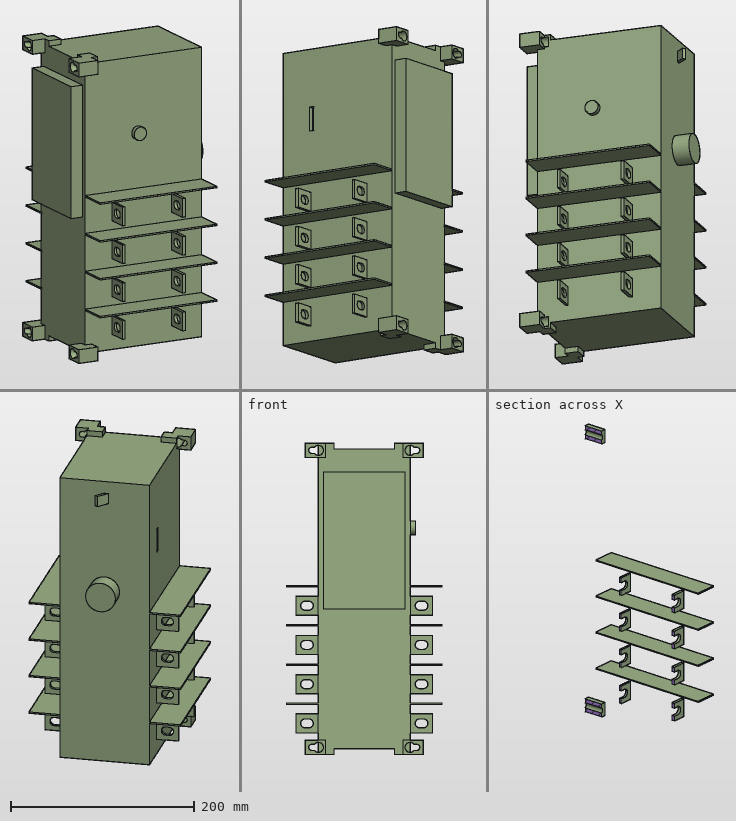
import cadquery as cq
import math


body_width = 100.5
body_depth = 145.0
body_height = 327.8
body_side = body_width / 2
body_top = body_height / 2

panel_width = 89.0
panel_height = 149.3
panel_thickness = 14.3
panel_top = 138.5

pole_count = 4
pole_pitch = 43.0
barrier_span = 170
barrier_thickness = 1.7
top_barrier_z = 14.0
terminal_span = 149.5
terminal_height = 21.0
top_terminal_z = top_barrier_z - pole_pitch / 2
front_terminal_y = 34.7
front_terminal_thickness = 2.7
rear_terminal_y = 109.5
rear_terminal_thickness = 3.7
terminal_hole_x = 62.5
terminal_hole_length = 13.5
terminal_hole_height = 9.5

foot_top = 170
foot_height = 15.5
foot_inner_x = 42.0
foot_outer_x = 64.5
foot_front_y = -15.3
foot_rear_y = 8.0
foot_z = foot_top - foot_height / 2
tab_inner_x = 33.0
tab_depth = 15.3
keyhole_head_diameter = 11.0
keyhole_head_x = 50.0
keyhole_slot_width = 6.5
keyhole_end_x = 60.5
keyhole_floor_y = 13.0

knob_diameter = 33.3
knob_length = 19.7
knob_z = 35.5

lock_reach = 11.5
lock_thickness = 3.7
lock_height = 12.0
lock_x = -1.7
lock_z = 144.0
lock_angle = 40

button_diameter = 15.3
button_length = 5.8
button_y = 65.5
button_z = 77.5

side_slot_width = 5.8
side_slot_height = 27.0
side_slot_depth = 5.8
side_slot_y = 107.0
side_slot_z = 85.7


def block(x_min, x_max, y_min, y_max, z_min, z_max):
    """Axis-aligned box given by its limits."""
    size = (x_max - x_min, y_max - y_min, z_max - z_min)
    return cq.Workplane("XY").box(*size, centered=False).translate((x_min, y_min, z_min))


def centred_block(width, y_min, y_max, z_centre, height):
    """Box that is symmetric in X and centred on a given height."""
    return block(-width / 2, width / 2, y_min, y_max, z_centre - height / 2, z_centre + height / 2)


def along_y(y_min, x, z):
    """Sketch plane facing +Y with its origin at the given point."""
    return cq.Workplane(cq.Plane(origin=(x, y_min, z), xDir=(1, 0, 0), normal=(0, 1, 0)))


def mirrored(shape, plane):
    """The shape together with its mirror image."""
    return shape.union(shape.mirror(plane))


def terminal_bar(y_centre, thickness, z):
    """Flat bar through the housing with a slotted bolt hole at each end."""
    y_min = y_centre - thickness / 2
    bar = centred_block(terminal_span, y_min, y_min + thickness, z, terminal_height)
    for x in (-terminal_hole_x, terminal_hole_x):
        hole = along_y(y_min, x, z).slot2D(terminal_hole_length, terminal_hole_height).extrude(thickness)
        bar = bar.cut(hole)
    return bar


def foot():
    """Upper +X mounting foot with the tab that hooks over the housing."""
    arm = block(foot_inner_x, foot_outer_x, foot_front_y, foot_rear_y, foot_top - foot_height, foot_top)
    tab = block(tab_inner_x, body_side, 0, tab_depth, body_top, foot_top)
    return arm.union(tab)


def keyhole():
    """Keyhole cutter for the upper +X foot, sunk into the housing behind it."""
    depth = keyhole_floor_y - foot_front_y
    head = along_y(foot_front_y, keyhole_head_x, foot_z).circle(keyhole_head_diameter / 2).extrude(depth)
    slot_length = keyhole_end_x - keyhole_head_x + keyhole_slot_width / 2
    slot_x = keyhole_end_x - slot_length / 2
    slot = along_y(foot_front_y, slot_x, foot_z).slot2D(slot_length, keyhole_slot_width).extrude(depth)
    return head.union(slot)


def lock_plate():
    """Vertical plate leaning towards +X, cut square across its free end."""
    lean = math.radians(lock_angle)
    length = (lock_reach - lock_thickness / 2 * math.sin(lean)) / math.cos(lean)
    root = lock_thickness
    plate = block(-lock_thickness / 2, lock_thickness / 2, -root, length, -lock_height / 2, lock_height / 2)
    return plate.rotate((0, 0, 0), (0, 0, 1), -lock_angle).translate((lock_x, body_depth, lock_z))


result = centred_block(body_width, 0, body_depth, 0, body_height)
result = result.union(centred_block(panel_width, -panel_thickness, 0, panel_top - panel_height / 2, panel_height))

for pole in range(pole_count):
    drop = pole * pole_pitch
    result = result.union(centred_block(barrier_span, 0, body_depth, top_barrier_z - drop, barrier_thickness))
    result = result.union(terminal_bar(front_terminal_y, front_terminal_thickness, top_terminal_z - drop))
    result = result.union(terminal_bar(rear_terminal_y, rear_terminal_thickness, top_terminal_z - drop))

result = result.union(mirrored(mirrored(foot(), "YZ"), "XY"))
result = result.cut(mirrored(mirrored(keyhole(), "YZ"), "XY"))

result = result.union(along_y(body_depth, 0, knob_z).circle(knob_diameter / 2).extrude(knob_length))
result = result.union(lock_plate())

button_plane = cq.Workplane("YZ", origin=(body_side, button_y, button_z))
result = result.union(button_plane.circle(button_diameter / 2).extrude(button_length))

result = result.cut(
    block(
        -body_side,
        -body_side + side_slot_depth,
        side_slot_y - side_slot_width / 2,
        side_slot_y + side_slot_width / 2,
        side_slot_z - side_slot_height / 2,
        side_slot_z + side_slot_height / 2,
    )
)